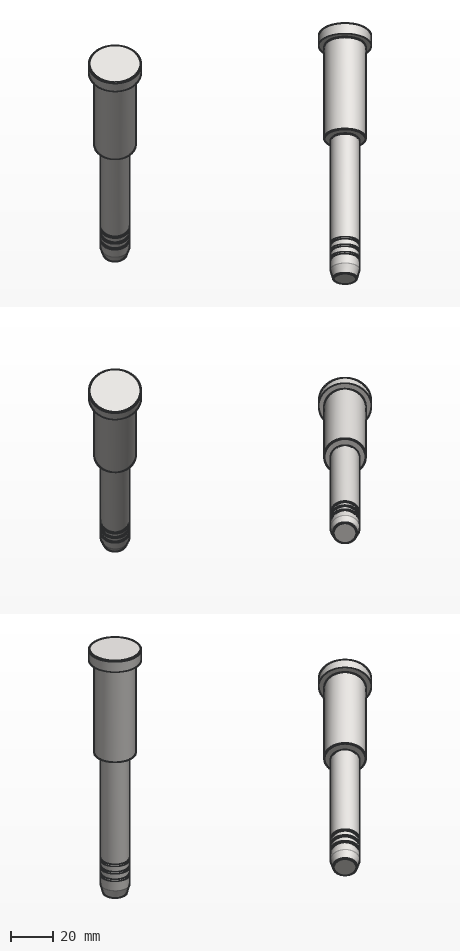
import cadquery as cq
import math

total_length = 131.0
head_height = 6.0
body_length = 49.9
tip_length = 5.0

head_diameter = 25.0
body_diameter = 20.0
pin_diameter = 14.0

head_chamfer = 0.5
body_chamfer = 0.4
tip_chamfer = 0.4
tip_taper_angle = 15.0
body_relief_height = 0.8
body_relief_depth = 0.4
body_relief_land = 0.4
pin_relief_height = 1.0
pin_relief_depth = 0.9

groove_count = 3
groove_span = 8.0
groove_radius = 0.5
lowest_groove_z = 10.5

groove_pitch = groove_span / (groove_count - 1)
head_radius = head_diameter / 2
body_radius = body_diameter / 2
pin_radius = pin_diameter / 2
head_bottom_z = total_length - head_height
body_bottom_z = head_bottom_z - body_length
tip_radius = pin_radius - tip_length * math.tan(math.radians(tip_taper_angle))


def make_head():
    head = cq.Workplane("XY").workplane(offset=head_bottom_z).circle(head_radius).extrude(head_height)
    return head.faces(">Z").edges().chamfer(head_chamfer)


def make_body():
    """Body cylinder with a short neck and cone under the head and a chamfered lower edge."""
    return (
        cq.Workplane("XZ")
        .moveTo(0, body_bottom_z)
        .lineTo(body_radius - body_chamfer, body_bottom_z)
        .lineTo(body_radius, body_bottom_z + body_chamfer)
        .lineTo(body_radius, head_bottom_z - body_relief_height)
        .lineTo(body_radius - body_relief_depth, head_bottom_z - body_relief_land)
        .lineTo(body_radius - body_relief_depth, head_bottom_z)
        .lineTo(0, head_bottom_z)
        .close()
        .revolve(360, (0, 0, 0), (0, 1, 0))
    )


def make_pin():
    """Pin with a conical relief under the body and a tapered, chamfered tip."""
    taper_run = tip_chamfer * math.tan(math.radians(tip_taper_angle))
    return (
        cq.Workplane("XZ")
        .lineTo(tip_radius - tip_chamfer, 0)
        .lineTo(tip_radius + taper_run, tip_chamfer)
        .lineTo(pin_radius, tip_length)
        .lineTo(pin_radius, body_bottom_z - pin_relief_height)
        .lineTo(pin_radius - pin_relief_depth, body_bottom_z)
        .lineTo(0, body_bottom_z)
        .close()
        .revolve(360, (0, 0, 0), (0, 1, 0))
    )


def make_groove_cutter(center_z):
    """Round-section ring that cuts one half-round groove into the pin."""
    return (
        cq.Workplane("XZ")
        .center(pin_radius, center_z)
        .circle(groove_radius)
        .revolve(360, (-pin_radius, 0, 0), (-pin_radius, 1, 0))
    )


result = make_head().union(make_body()).union(make_pin())
for index in range(groove_count):
    result = result.cut(make_groove_cutter(lowest_groove_z + index * groove_pitch))